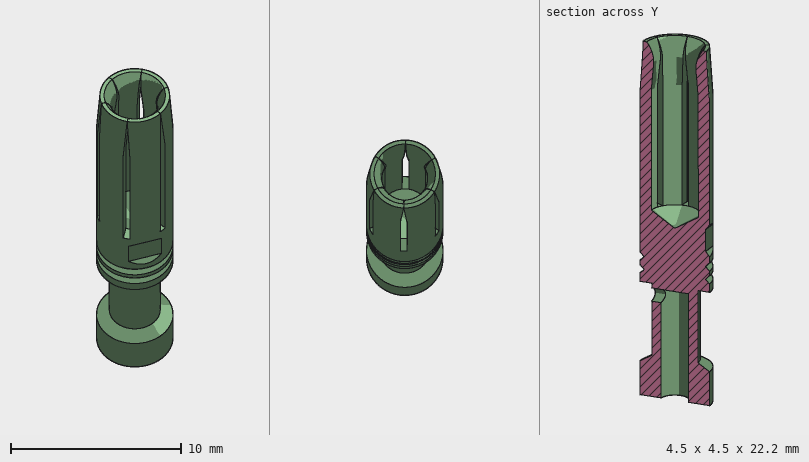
import cadquery as cq
import math


TOTAL_LENGTH = 22.2
BODY_RADIUS = 4.5 / 2

FOOT_HEIGHT = 2.15
NECK_RADIUS = 3.0 / 2
NECK_START = 2.6
COLLAR_BOTTOM = 7.1
CRIMP_BORE_RADIUS = 1.75 / 2
SIGHT_HOLE_DIAMETER = 0.8
SIGHT_HOLE_HEIGHT = 6.4

GROOVE_DEPTH = 0.25
GROOVE_HALF_WIDTH = 0.25
GROOVE_CENTRES = (7.9, 8.7)

TAPER_LENGTH = 3.0
TIP_RADIUS = 4.1 / 2
SOCKET_RADIUS = 3.0 / 2
MOUTH_RADIUS = 1.8
THROAT_RADIUS = 1.34
MOUTH_DEPTH = 1.2

DRILL_POINT_ANGLE = 118

SLOT_COUNT = 6
SLOT_FLOOR = 11.7
SOCKET_FLOOR = SLOT_FLOOR
SLOT_WIDTH = 0.4
SLOT_TIP_WIDTH = 0.005

FLAT_CENTRE_HEIGHT = 10.34
FLAT_LENGTH = 1.37
FLAT_MOUTH_LENGTH = 1.97
FLAT_DEPTH = 0.24

OVERRUN = 0.5

TAPER_START = TOTAL_LENGTH - TAPER_LENGTH


def make_outside():
    """Turned outside: foot, neck, grooved body and tapered fingers."""
    outline = [
        (0, 0),
        (BODY_RADIUS, 0),
        (BODY_RADIUS, FOOT_HEIGHT),
        (NECK_RADIUS, NECK_START),
        (NECK_RADIUS, COLLAR_BOTTOM),
        (BODY_RADIUS, COLLAR_BOTTOM),
    ]
    for centre in GROOVE_CENTRES:
        outline += [
            (BODY_RADIUS, centre - GROOVE_HALF_WIDTH),
            (BODY_RADIUS - GROOVE_DEPTH, centre),
            (BODY_RADIUS, centre + GROOVE_HALF_WIDTH),
        ]
    outline += [
        (BODY_RADIUS, TAPER_START),
        (TIP_RADIUS, TOTAL_LENGTH),
        (0, TOTAL_LENGTH),
    ]
    return cq.Workplane("XZ").polyline(outline).close().revolve(360, (0, 0, 0), (0, 1, 0))


def make_socket_bore():
    """Blind bore from the top: drill point, straight bore, pinched throat and rounded mouth."""
    point_depth = SOCKET_RADIUS / math.tan(math.radians(DRILL_POINT_ANGLE / 2))
    throat_height = TOTAL_LENGTH - MOUTH_DEPTH
    flare = MOUTH_RADIUS - THROAT_RADIUS
    arc_radius = (flare ** 2 + MOUTH_DEPTH ** 2) / (2 * flare)
    half_arc_angle = math.asin(MOUTH_DEPTH / arc_radius) / 2
    arc_middle = (
        THROAT_RADIUS + arc_radius * (1 - math.cos(half_arc_angle)),
        throat_height + arc_radius * math.sin(half_arc_angle),
    )
    return (
        cq.Workplane("XZ")
        .moveTo(0, SOCKET_FLOOR - point_depth)
        .lineTo(SOCKET_RADIUS, SOCKET_FLOOR)
        .lineTo(SOCKET_RADIUS, TAPER_START)
        .lineTo(THROAT_RADIUS, throat_height)
        .threePointArc(arc_middle, (MOUTH_RADIUS, TOTAL_LENGTH))
        .lineTo(0, TOTAL_LENGTH)
        .close()
        .revolve(360, (0, 0, 0), (0, 1, 0))
    )


def make_slot(angle):
    """Radial slot on one side of the axis, narrowing to a hairline over the taper."""
    half_width = SLOT_WIDTH / 2
    half_tip = SLOT_TIP_WIDTH / 2
    outline = [
        (-half_width, SLOT_FLOOR),
        (half_width, SLOT_FLOOR),
        (half_width, TAPER_START),
        (half_tip, TOTAL_LENGTH),
        (-half_tip, TOTAL_LENGTH),
        (-half_width, TAPER_START),
    ]
    slot = cq.Workplane("XZ").polyline(outline).close().extrude(BODY_RADIUS + OVERRUN)
    return slot.rotate((0, 0, 0), (0, 0, 1), angle)


def make_crimp_bore():
    """Blind bore from the bottom, ending level with the top of the sight hole."""
    depth = SIGHT_HOLE_HEIGHT + SIGHT_HOLE_DIAMETER / 2
    return cq.Workplane("XY").circle(CRIMP_BORE_RADIUS).extrude(depth)


def make_sight_hole():
    """Cross hole from the -X side into the crimp bore."""
    return (
        cq.Workplane("YZ")
        .center(0, SIGHT_HOLE_HEIGHT)
        .circle(SIGHT_HOLE_DIAMETER / 2)
        .extrude(-(NECK_RADIUS + OVERRUN))
    )


def make_flat():
    """Cutter for the flat on the +X side, with ends that slope outward."""
    inner = BODY_RADIUS - FLAT_DEPTH
    outer = BODY_RADIUS + OVERRUN
    half_inner = FLAT_LENGTH / 2
    end_slope = (FLAT_MOUTH_LENGTH - FLAT_LENGTH) / 2 / FLAT_DEPTH
    half_outer = half_inner + end_slope * (outer - inner)
    outline = [
        (inner, FLAT_CENTRE_HEIGHT - half_inner),
        (outer, FLAT_CENTRE_HEIGHT - half_outer),
        (outer, FLAT_CENTRE_HEIGHT + half_outer),
        (inner, FLAT_CENTRE_HEIGHT + half_inner),
    ]
    return cq.Workplane("XZ").polyline(outline).close().extrude(BODY_RADIUS, both=True)


result = make_outside()
result = result.cut(make_socket_bore())
for index in range(SLOT_COUNT):
    result = result.cut(make_slot(index * 360 / SLOT_COUNT))
result = result.cut(make_crimp_bore())
result = result.cut(make_sight_hole())
result = result.cut(make_flat())